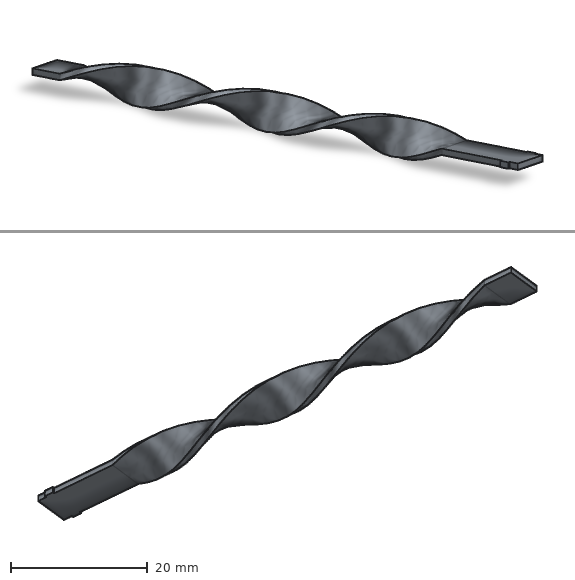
import cadquery as cq

STRIP_WIDTH = 6.0
STRIP_THICKNESS = 1.0

SHORT_TAB_LENGTH = 5.0
TWIST_LENGTH = 70.0
LONG_TAB_LENGTH = 14.0
TOTAL_LENGTH = SHORT_TAB_LENGTH + TWIST_LENGTH + LONG_TAB_LENGTH

HALF_TURNS = 3
TWIST_ANGLE = -180.0 * HALF_TURNS

BUMP_HEIGHT = 0.3
BUMP_LENGTH = 1.5
BUMP_END_GAP = 1.5

TWIST_START = -TOTAL_LENGTH / 2 + SHORT_TAB_LENGTH
TWIST_END = TWIST_START + TWIST_LENGTH


def strip_section(x):
    """Strip cross-section on a YZ plane at the given X."""
    return cq.Workplane("YZ", origin=(x, 0, 0)).rect(STRIP_WIDTH, STRIP_THICKNESS)


def bump_bar():
    """Bar across the long tab whose two ends stand proud as the edge bumps."""
    centre_x = TOTAL_LENGTH / 2 - BUMP_END_GAP - BUMP_LENGTH / 2
    return cq.Workplane("XY", origin=(centre_x, 0, 0)).box(
        BUMP_LENGTH, STRIP_WIDTH + 2 * BUMP_HEIGHT, STRIP_THICKNESS
    )


short_tab = strip_section(-TOTAL_LENGTH / 2).extrude(SHORT_TAB_LENGTH)
twisted_strip = strip_section(TWIST_START).twistExtrude(TWIST_LENGTH, TWIST_ANGLE)
long_tab = strip_section(TWIST_END).extrude(LONG_TAB_LENGTH)

long_tab = long_tab.union(bump_bar()).clean()

result = short_tab.union(twisted_strip).union(long_tab)